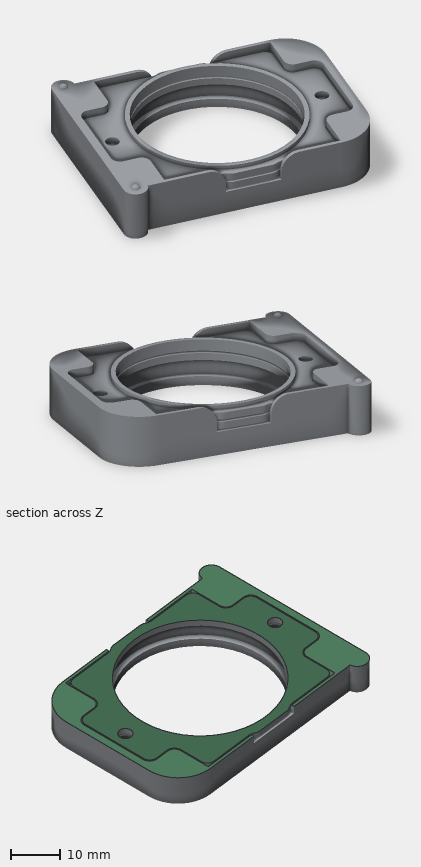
import cadquery as cq
import math

body_half_width = 20.1
body_length = 56.45
body_rear_y = 28.2
body_front_y = body_rear_y - body_length
rear_corner_radius = 8.85
rear_height = 10.9
front_height = 10.8

overall_width = 44.6
lug_radius = 2.5
lug_length = 5.1
lug_x = overall_width / 2 - lug_radius
lug_y = body_front_y + lug_length / 2
overall_height = 11.45
pip_radius = 0.95
pip_height = overall_height - front_height

pocket_floor_z = 5.1
pocket_half_width = 19.3
pocket_half_length = 19.25
bay_half_width = 9.95
bay_half_length = 26.35
bay_corner_radius = 2.0

side_clearance = 0.15
shoulder_clearance = 0.1
bay_clearance = 0.1
end_clearance = 0.15

window_half_length = 6.05
window_top_radius = 3.95

aperture_diameter = 35.5
seat_diameter = 38.0
seat_floor_z = 2.0
screw_hole_diameter = 3.0
screw_hole_y = 22.85

plate_thickness = 1.5
lower_plate_z = 5.5
upper_plate_z = 7.5
plate_corner_radius = 1.85
ring_diameter = 37.5
ring_height = 0.95
tab_end_half_length = 3.95
tab_curve_radius = 2.74
plate_half_width = pocket_half_width - side_clearance
tab_half_width = body_half_width - side_clearance

selection_margin = 0.05


def block(width, length, z, height, y=0.0):
    """Box centred on X and on the given Y, standing on the given Z."""
    return cq.Workplane("XY").workplane(offset=z).center(0, y).rect(width, length).extrude(height)


def cross_block(half_width, shoulder_y, end_half_width, end_y, z, height):
    """Rectangular block with a narrower, rounded bay at each Y end."""
    main = block(2 * half_width, 2 * shoulder_y, z, height)
    bay = block(2 * end_half_width, 2 * end_y, z, height).edges("|Z").fillet(bay_corner_radius)
    inner_corners = cq.selectors.BoxSelector(
        (-end_half_width - selection_margin, -shoulder_y - selection_margin, z),
        (end_half_width + selection_margin, shoulder_y + selection_margin, z + height),
    )
    return main.union(bay).edges("|Z").edges(inner_corners).fillet(bay_corner_radius)


def cylinder(diameter, z, height, y=0.0):
    return cq.Workplane("XY").workplane(offset=z).center(0, y).circle(diameter / 2).extrude(height)


def screw_holes(z, height):
    holes = cylinder(screw_hole_diameter, z, height, screw_hole_y)
    return holes.union(cylinder(screw_hole_diameter, z, height, -screw_hole_y))


def body_block():
    """Solid body with rounded rear corners, front lugs and a lower front half."""
    body = (
        block(2 * body_half_width, body_length, 0, rear_height)
        .edges("|Z and >Y")
        .fillet(rear_corner_radius)
    )
    lug_bar = block(overall_width, lug_length, 0, front_height, lug_y).edges("|Z").fillet(lug_radius)
    front_end = block(overall_width, lug_length, 0, rear_height, lug_y)
    front_step = block(
        overall_width, -body_front_y, front_height, rear_height - front_height, body_front_y / 2
    )
    return body.cut(front_end).union(lug_bar).cut(front_step)


def window_cut():
    """Cut through both side walls, flaring to the top edges with arcs."""
    diagonal = window_top_radius * math.sqrt(0.5)
    rear_arc_z = rear_height - window_top_radius
    front_arc_z = front_height - window_top_radius
    flare_y = window_half_length + window_top_radius
    mid_y = flare_y - diagonal
    return (
        cq.Workplane("YZ")
        .moveTo(-window_half_length, pocket_floor_z)
        .lineTo(window_half_length, pocket_floor_z)
        .lineTo(window_half_length, rear_arc_z)
        .threePointArc((mid_y, rear_arc_z + diagonal), (flare_y, rear_height))
        .lineTo(flare_y, overall_height)
        .lineTo(-flare_y, overall_height)
        .lineTo(-flare_y, front_height)
        .threePointArc((-mid_y, front_arc_z + diagonal), (-window_half_length, front_arc_z))
        .close()
        .extrude(body_half_width, both=True)
    )


def pip(x):
    """Domed locating pip on top of a lug."""
    sphere_radius = (pip_radius**2 + pip_height**2) / (2 * pip_height)
    return (
        cq.Workplane("XZ", origin=(x, lug_y, 0))
        .moveTo(0, 0)
        .lineTo(pip_radius, 0)
        .lineTo(pip_radius, front_height)
        .radiusArc((0, overall_height), -sphere_radius)
        .close()
        .revolve(360, (0, 0, 0), (0, 1, 0))
    )


def make_housing():
    pocket = cross_block(
        pocket_half_width,
        pocket_half_length,
        bay_half_width,
        bay_half_length,
        pocket_floor_z,
        rear_height,
    )
    housing = (
        body_block()
        .cut(pocket)
        .cut(window_cut())
        .cut(cylinder(seat_diameter, seat_floor_z, rear_height))
        .cut(cylinder(aperture_diameter, 0, rear_height))
        .cut(screw_holes(0, rear_height))
    )
    for x in (-lug_x, lug_x):
        housing = housing.union(pip(x))
    return housing


def side_tabs(z):
    """Finger tabs blending into both plate sides with an S-shaped curve."""
    half_step = (tab_half_width - plate_half_width) / 2
    curve_span = math.sqrt(tab_curve_radius**2 - (tab_curve_radius - half_step) ** 2)
    bend_x = plate_half_width + half_step
    bend_y = tab_end_half_length + curve_span
    root_y = bend_y + curve_span
    return (
        cq.Workplane("XY")
        .workplane(offset=z)
        .moveTo(-plate_half_width, -root_y)
        .lineTo(plate_half_width, -root_y)
        .radiusArc((bend_x, -bend_y), tab_curve_radius)
        .radiusArc((tab_half_width, -tab_end_half_length), -tab_curve_radius)
        .lineTo(tab_half_width, tab_end_half_length)
        .radiusArc((bend_x, bend_y), -tab_curve_radius)
        .radiusArc((plate_half_width, root_y), tab_curve_radius)
        .lineTo(-plate_half_width, root_y)
        .radiusArc((-bend_x, bend_y), tab_curve_radius)
        .radiusArc((-tab_half_width, tab_end_half_length), -tab_curve_radius)
        .lineTo(-tab_half_width, -tab_end_half_length)
        .radiusArc((-bend_x, -bend_y), -tab_curve_radius)
        .radiusArc((-plate_half_width, -root_y), tab_curve_radius)
        .close()
        .extrude(plate_thickness)
    )


def make_plate(z, ring):
    plate = cross_block(
        plate_half_width,
        pocket_half_length - shoulder_clearance,
        bay_half_width - bay_clearance,
        bay_half_length - end_clearance,
        z,
        plate_thickness,
    )
    outer_corners = plate.edges("|Z").edges("<X or >X")
    plate = outer_corners.fillet(plate_corner_radius).union(side_tabs(z))
    if ring:
        plate = plate.union(cylinder(ring_diameter, z, plate_thickness + ring_height))
    return plate.cut(cylinder(aperture_diameter, z, rear_height)).cut(screw_holes(z, plate_thickness))


housing = make_housing()
lower_plate = make_plate(lower_plate_z, False)
upper_plate = make_plate(upper_plate_z, True)

bodies = (housing, lower_plate, upper_plate)
result = cq.Compound.makeCompound([body.solids().val() for body in bodies])